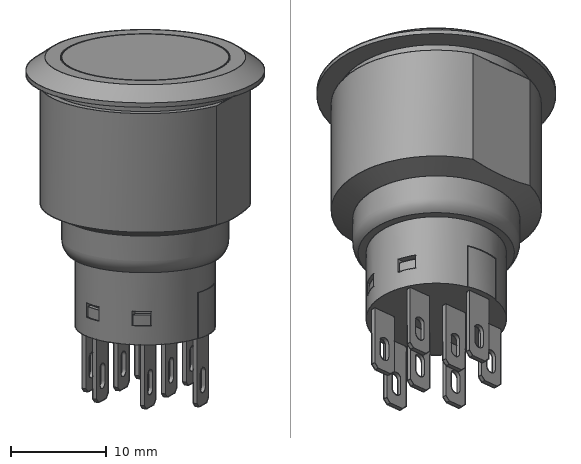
import cadquery as cq
import math


TOTAL_HEIGHT = 37.0
BEZEL_EDGE_TOP = TOTAL_HEIGHT - 1.4
BEZEL_BOTTOM = TOTAL_HEIGHT - 1.9
BARREL_TOP = TOTAL_HEIGHT - 3.0
BARREL_BOTTOM = TOTAL_HEIGHT - 15.9
COLLAR_TOP = TOTAL_HEIGHT - 17.0
COLLAR_BOTTOM = TOTAL_HEIGHT - 21.13
BASE_BOTTOM = TOTAL_HEIGHT - 29.23

BEZEL_DIA = 25.0
FACE_DIA = 21.0
NECK_DIA = 20.5
BARREL_DIA = 22.0
COLLAR_DIA = 17.5
BASE_DIA = 14.7
ACROSS_FLATS = NECK_DIA

COLLAR_ARC_RADIUS = 2.0
COLLAR_ARC_HEIGHT = 1.4

BUTTON_DIA = 17.5
BUTTON_HOLE_DIA = 17.75
BUTTON_GAP_DEPTH = 0.37

PAD_DIA = 14.85
PAD_WIDTH = 3.95
PAD_HEIGHT = 5.0

WINDOW_WIDTH = 1.8
WINDOW_HEIGHT = 1.55
WINDOW_OFFSET = 2.85
WINDOW_TOP = TOTAL_HEIGHT - 25.6
WINDOW_FLOOR_DIA = 13.3
LATCH_DIA = 14.4
LATCH_TOP_GAP = 0.4
LATCH_SIDE_GAP = 0.1

PIN_THICKNESS = 0.48
PIN_WIDTH = 2.75
PIN_CHAMFER = 0.48
PIN_ROOT = 0.75
PIN_SLOT_WIDTH = 1.2
PIN_SLOT_LENGTH = 2.75
PIN_SLOT_FROM_TIP = 1.35
LONG_PIN_X = 6.48
SHORT_PIN_X = 2.78
SHORT_PIN_PITCH_Y = 5.0
SHORT_PIN_TIP = 0.6


def cylinder(diameter, bottom, top):
    return cq.Workplane("XY").workplane(offset=bottom).circle(diameter / 2).extrude(top - bottom)


def block(size_x, size_y, bottom, top, x=0.0, y=0.0):
    return (
        cq.Workplane("XY").workplane(offset=bottom)
        .center(x, y).rect(size_x, size_y).extrude(top - bottom)
    )


def make_bezel():
    face_cone = (
        cq.Workplane("XZ")
        .moveTo(0, BEZEL_BOTTOM)
        .lineTo(BEZEL_DIA / 2, BEZEL_BOTTOM)
        .lineTo(BEZEL_DIA / 2, BEZEL_EDGE_TOP)
        .lineTo(FACE_DIA / 2, TOTAL_HEIGHT)
        .lineTo(0, TOTAL_HEIGHT)
        .close()
        .revolve(360, (0, 0, 0), (0, 1, 0))
    )
    gap_bottom = TOTAL_HEIGHT - BUTTON_GAP_DEPTH
    gap = cylinder(BUTTON_HOLE_DIA, gap_bottom, TOTAL_HEIGHT).cut(
        cylinder(BUTTON_DIA, gap_bottom, TOTAL_HEIGHT)
    )
    return face_cone.cut(gap)


def make_barrel():
    """Round barrel with a conical lower end and two flats facing -X and +X."""
    round_barrel = (
        cq.Workplane("XZ")
        .moveTo(0, COLLAR_TOP)
        .lineTo(COLLAR_DIA / 2, COLLAR_TOP)
        .lineTo(BARREL_DIA / 2, BARREL_BOTTOM)
        .lineTo(BARREL_DIA / 2, BARREL_TOP)
        .lineTo(0, BARREL_TOP)
        .close()
        .revolve(360, (0, 0, 0), (0, 1, 0))
    )
    return round_barrel.intersect(block(ACROSS_FLATS, BARREL_DIA, COLLAR_TOP, BARREL_TOP))


def make_collar():
    radius = COLLAR_DIA / 2
    arc_top = COLLAR_BOTTOM + COLLAR_ARC_HEIGHT
    arc_angle = math.asin(COLLAR_ARC_HEIGHT / COLLAR_ARC_RADIUS)

    def arc_point(angle):
        inset = COLLAR_ARC_RADIUS * (1 - math.cos(angle))
        return (radius - inset, arc_top - COLLAR_ARC_RADIUS * math.sin(angle))

    return (
        cq.Workplane("XZ")
        .moveTo(0, COLLAR_TOP)
        .lineTo(radius, COLLAR_TOP)
        .lineTo(radius, arc_top)
        .threePointArc(arc_point(arc_angle / 2), arc_point(arc_angle))
        .lineTo(0, COLLAR_BOTTOM)
        .close()
        .revolve(360, (0, 0, 0), (0, 1, 0))
    )


def make_base():
    base = cylinder(BASE_DIA, BASE_BOTTOM, COLLAR_BOTTOM)

    pad_top = BASE_BOTTOM + PAD_HEIGHT
    pads = cylinder(PAD_DIA, BASE_BOTTOM, pad_top).intersect(
        block(PAD_DIA, PAD_WIDTH, BASE_BOTTOM, pad_top)
    )
    base = base.union(pads)

    window_bottom = WINDOW_TOP - WINDOW_HEIGHT
    window_floor = cylinder(WINDOW_FLOOR_DIA, window_bottom, WINDOW_TOP)
    latch_top = WINDOW_TOP - LATCH_TOP_GAP
    latch_cylinder = cylinder(LATCH_DIA, window_bottom, latch_top)
    for side in (-1, 1):
        window = block(WINDOW_WIDTH, BASE_DIA, window_bottom, WINDOW_TOP, x=side * WINDOW_OFFSET)
        latch = block(
            WINDOW_WIDTH - LATCH_SIDE_GAP, BASE_DIA, window_bottom, latch_top,
            x=side * (WINDOW_OFFSET - LATCH_SIDE_GAP / 2),
        )
        base = base.cut(window.cut(window_floor)).union(latch.intersect(latch_cylinder))
    return base


def make_pin(x, y, tip):
    """Flat pin facing X with a chamfered tip and a round-ended wire slot."""
    blade = block(PIN_THICKNESS, PIN_WIDTH, tip, BASE_BOTTOM + PIN_ROOT)
    blade = blade.faces("<Z").edges("|X").chamfer(PIN_CHAMFER)
    slot = (
        cq.Workplane("YZ")
        .center(0, tip + PIN_SLOT_FROM_TIP + PIN_SLOT_LENGTH / 2)
        .slot2D(PIN_SLOT_LENGTH, PIN_SLOT_WIDTH, 90)
        .extrude(PIN_THICKNESS, both=True)
    )
    return blade.cut(slot).translate((x, y, 0))


neck = cylinder(NECK_DIA, BARREL_TOP, BEZEL_BOTTOM)
result = make_bezel().union(neck).union(make_barrel()).union(make_collar()).union(make_base())

for side in (-1, 1):
    result = result.union(make_pin(side * LONG_PIN_X, 0, 0))
    for row in (-1, 0, 1):
        result = result.union(make_pin(side * SHORT_PIN_X, row * SHORT_PIN_PITCH_Y, SHORT_PIN_TIP))